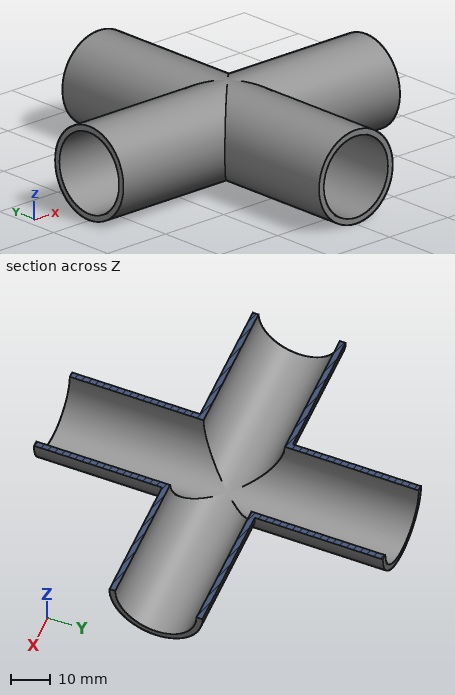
import cadquery as cq

cross_length = 95.25
outer_diameter = 25.4
bore_diameter = 22.1


def crossed_cylinders(diameter):
    """Equal cylinders along X and Y, fused where they cross at the origin."""
    along_x, along_y = [
        cq.Workplane(plane).circle(diameter / 2).extrude(cross_length / 2, both=True)
        for plane in ("YZ", "XZ")
    ]
    return along_x.union(along_y)


result = crossed_cylinders(outer_diameter).cut(crossed_cylinders(bore_diameter))